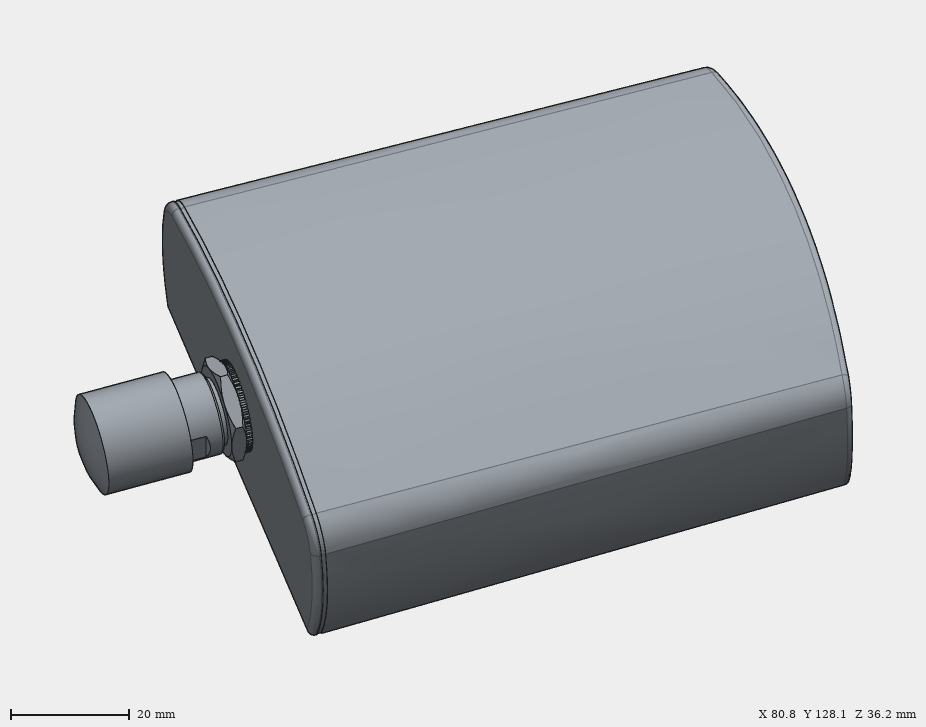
import cadquery as cq
import math

total_length = 128.1

housing_length = 100.0
housing_top = 35.0
top_radius = 119.2
width = 80.8
half_width = width / 2
bulge_height = 15.8
side_radius = 39.7
corner_radius = 7.2
draft_angle = 0.9
back_radius = 211.4
back_fillet = 1.3

cover_thickness = 2.3
flange_thickness = 1.5
lip_inset = 0.1
cover_fillet = 1.3

pad_width = 38.6
pad_length = 42.3
pad_height = 1.2
pad_front = 28.0
pad_corner_radius = 3.1

axis_height = 18.3
washer_thickness = 1.0
washer_diameter = 16.1
tooth_count = 60
tooth_depth = 0.5
nut_across_flats = 15.9
nut_end = 3.7
nut_bevel_angle = 30.0
neck_diameter = 11.8
body_start = 4.6
body_diameter = 14.3
body_chamfer = 0.4
flat_start = 7.8
across_wrench_flats = 13.2
cap_start = 10.9
cap_rim = 25.9
cap_diameter = 17.5
cap_tip = total_length - housing_length

EXTRA = 6.4
HALF_HEX_ANGLE = math.pi / 6


def circle_crossing(first_z, first_radius, second_x, second_z, second_radius):
    """Upper right crossing of a circle centred on X = 0 with a second circle."""
    dx = second_x
    dz = second_z - first_z
    distance = math.hypot(dx, dz)
    along = (first_radius**2 - second_radius**2 + distance**2) / (2 * distance)
    across = math.sqrt(first_radius**2 - along**2)
    x = (along * dx + across * dz) / distance
    z = first_z + (along * dz - across * dx) / distance
    return x, z


def section(y, foot_z):
    """Cross-section at depth y: flat foot, bulged sides, rounded corners and arched top."""
    top_z = housing_top - top_radius
    side_x = half_width - side_radius
    corner_x, corner_z = circle_crossing(
        top_z, top_radius - corner_radius, side_x, bulge_height, side_radius - corner_radius
    )
    top_angle = math.atan2(corner_z - top_z, corner_x)
    side_angle = math.atan2(corner_z - bulge_height, corner_x - side_x)

    def on_corner(angle):
        return corner_x + corner_radius * math.cos(angle), corner_z + corner_radius * math.sin(angle)

    side_end = on_corner(side_angle)
    corner_middle = on_corner((side_angle + top_angle) / 2)
    top_end = on_corner(top_angle)
    foot_x = side_x + math.sqrt(side_radius**2 - (bulge_height - foot_z) ** 2)

    def mirrored(point):
        return -point[0], point[1]

    return (
        cq.Workplane("XZ", origin=(0, y, 0))
        .moveTo(-foot_x, foot_z)
        .lineTo(foot_x, foot_z)
        .threePointArc((half_width, bulge_height), side_end)
        .threePointArc(corner_middle, top_end)
        .threePointArc((0, housing_top), mirrored(top_end))
        .threePointArc(mirrored(corner_middle), mirrored(side_end))
        .threePointArc((-half_width, bulge_height), (-foot_x, foot_z))
        .close()
    )


def make_pad():
    """Raised pad that stands on the underside of the housing."""
    return (
        cq.Workplane("XY", origin=(0, pad_front + pad_length / 2, -pad_height))
        .rect(pad_width, pad_length)
        .extrude(pad_height)
        .edges("|Z")
        .fillet(pad_corner_radius)
    )


def make_housing():
    """Drafted block with a curved, filleted back face and the pad underneath."""
    block = section(cover_thickness, -EXTRA).extrude(cover_thickness - housing_length, taper=draft_angle)
    back_limit = (
        cq.Workplane("XY", origin=(0, housing_length - back_radius, -EXTRA))
        .circle(back_radius)
        .extrude(housing_top + 2 * EXTRA)
    )
    block = block.intersect(back_limit)
    block = block.faces(">Y").edges().fillet(back_fillet)
    below_bottom = cq.Workplane("XY").rect(2 * width, 4 * housing_length).extrude(-2 * EXTRA)
    return block.cut(below_bottom).union(make_pad())


def make_cover():
    """Front plate with a rounded front rim and an inset lip that leaves a fine groove at the housing."""
    flange = section(0, 0).extrude(-flange_thickness)
    flange = flange.faces("<Y").edges().fillet(cover_fillet)
    lip = section(flange_thickness, 0).offset2D(-lip_inset).extrude(flange_thickness - cover_thickness)
    return flange.union(lip)


def along_axis(station):
    """Workplane across the connector axis, facing outwards."""
    return cq.Workplane("XZ", origin=(0, -station, axis_height))


def make_nut():
    """Hexagon nut with its corners bevelled at both ends."""
    thickness = nut_end - washer_thickness
    across_corners = nut_across_flats / math.cos(HALF_HEX_ANGLE)
    corner_overhang = (across_corners - nut_across_flats) / 2
    bevel_height = corner_overhang * math.tan(math.radians(nut_bevel_angle))
    hexagon = (
        along_axis(washer_thickness)
        .transformed(rotate=(0, 0, math.degrees(HALF_HEX_ANGLE)))
        .polygon(6, across_corners)
        .extrude(thickness)
    )
    bevelled_disc = (
        along_axis(washer_thickness)
        .circle(across_corners / 2)
        .extrude(thickness)
        .faces("<Y or >Y")
        .chamfer(bevel_height, corner_overhang)
    )
    return hexagon.intersect(bevelled_disc)


def make_washer():
    """Toothed lock washer between the nut and the cover."""
    notch_width = math.pi * washer_diameter / tooth_count / 2
    notches = (
        along_axis(0)
        .polarArray(washer_diameter / 2, 0, 360, tooth_count)
        .rect(2 * tooth_depth, notch_width)
        .extrude(washer_thickness)
    )
    return along_axis(0).circle(washer_diameter / 2).extrude(washer_thickness).cut(notches)


def make_fitting():
    """Neck and body; the body has two wrench flats, each ending in a 45 degree shoulder."""
    neck = along_axis(0).circle(neck_diameter / 2).extrude(cap_start)
    body = along_axis(body_start).circle(body_diameter / 2).extrude(cap_start - body_start)
    body = body.faces(">Y").chamfer(body_chamfer)
    half_flats = across_wrench_flats / 2
    flat_length = cap_start - flat_start
    flat_cut = (
        cq.Workplane("XY", origin=(0, 0, axis_height))
        .moveTo(half_flats, -cap_start)
        .lineTo(half_flats, -flat_start)
        .lineTo(half_flats + flat_length, -flat_start + flat_length)
        .lineTo(half_flats + flat_length, -cap_start)
        .close()
        .extrude(body_diameter / 2, both=True)
    )
    return neck.union(body.cut(flat_cut).cut(flat_cut.mirror("YZ")))


def make_cap():
    """Round cap with a shallow spherical dome."""
    radius = cap_diameter / 2
    rise = cap_tip - cap_rim
    bulge = (radius**2 + rise**2) / (2 * rise)
    half_angle = math.asin(radius / bulge) / 2
    dome_middle = (bulge * math.sin(half_angle), cap_tip - bulge * (1 - math.cos(half_angle)))
    return (
        cq.Workplane("XY")
        .moveTo(0, cap_start)
        .lineTo(radius, cap_start)
        .lineTo(radius, cap_rim)
        .threePointArc(dome_middle, (0, cap_tip))
        .close()
        .revolve(360, (0, 0, 0), (0, 1, 0))
        .rotate((0, 0, 0), (1, 0, 0), 180)
        .translate((0, 0, axis_height))
    )


def make_connector():
    """Connector with its washer, nut, fitting and cap in one piece."""
    return make_fitting().union(make_washer()).union(make_nut()).union(make_cap())


housing = make_housing()
cover = make_cover()
connector = make_connector()

result = cq.Compound.makeCompound([housing.val(), cover.val(), connector.val()])